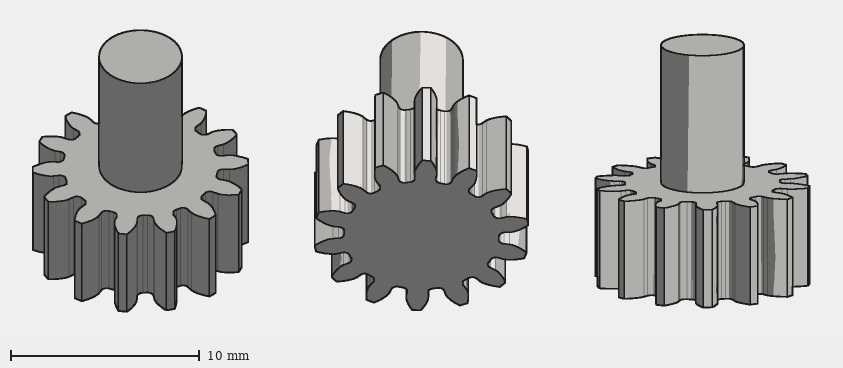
import cadquery as cq
import math

total_height = 12.86
gear_height = 5.35
shaft_diameter = 4.4

tooth_count = 14
tip_radius = 11.43 / 2
base_radius = 4.71
root_radius = 4.1
root_fillet = 0.31
base_half_angle = 0.126
flank_points = 7
first_tooth_angle = 90.0


def polar(radius, angle):
    """Point at a radius and an angle measured from the +X axis."""
    return (radius * math.cos(angle), radius * math.sin(angle))


def flank_half_angle(radius):
    """Half the angular tooth thickness on the involute flank."""
    pressure_angle = math.acos(base_radius / radius)
    return base_half_angle - (math.tan(pressure_angle) - pressure_angle)


def make_tooth():
    """One tooth along +X: radial sides up to the base circle, then involute flanks."""
    step = (tip_radius - base_radius) / (flank_points - 1)
    radii = [base_radius + step * i for i in range(flank_points - 1)] + [tip_radius]
    lower_flank = [polar(r, -flank_half_angle(r)) for r in radii]
    upper_flank = [polar(r, flank_half_angle(r)) for r in reversed(radii)]
    return (
        cq.Workplane("XY")
        .lineTo(*lower_flank[0])
        .spline(lower_flank[1:], includeCurrent=True)
        .threePointArc((tip_radius, 0), upper_flank[0])
        .spline(upper_flank[1:], includeCurrent=True)
        .close()
        .extrude(gear_height)
    )


def is_root_corner(edge):
    """True for the upright edges where a tooth side meets the root cylinder."""
    center = edge.Center()
    return abs(math.hypot(center.x, center.y) - root_radius) < root_fillet / 2


def make_gear():
    """Root cylinder with evenly spaced teeth and filleted tooth roots."""
    gear = cq.Workplane("XY").circle(root_radius).extrude(gear_height)
    tooth = make_tooth()
    for i in range(tooth_count):
        angle = first_tooth_angle + 360.0 / tooth_count * i
        gear = gear.union(tooth.rotate((0, 0, 0), (0, 0, 1), angle))
    return gear.edges("|Z").filter(is_root_corner).fillet(root_fillet)


def make_shaft():
    """Plain round shaft standing on the gear axis."""
    return cq.Workplane("XY").circle(shaft_diameter / 2).extrude(total_height)


result = make_gear().union(make_shaft())